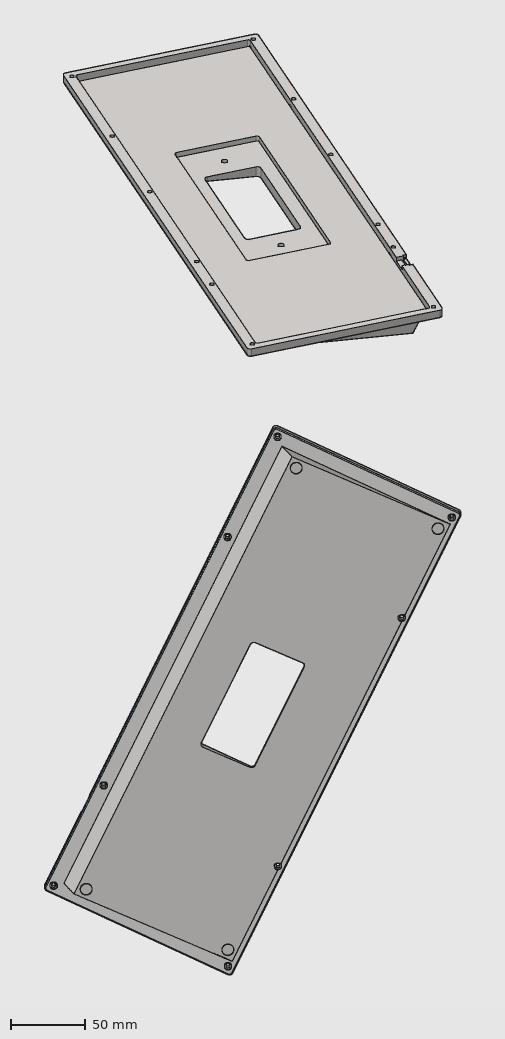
import cadquery as cq
import math

LENGTH = 358.66
WIDTH = 140.06
HEIGHT = 21.24

TRAY_HEIGHT = 6.6
TRAY_CORNER_RADIUS = 2.5
BOTTOM_CHAMFER = 0.8
END_WALL = 5.0
SIDE_WALL = 7.5
POCKET_DEPTH = 5.5
POCKET_CORNER_RADIUS = 1.5

WEDGE_END_INSET = 10.0
WEDGE_FRONT_INSET = 4.0
WEDGE_BACK_INSET = 10.5
WEDGE_RIDGE_INSET = 18.0
WEDGE_FRONT_DROP = 0.6

FOOT_DIAMETER = 8.0
FOOT_INSET = 6.2
FOOT_DEPTH = 0.8

RECESS_LENGTH = 139.9
RECESS_WIDTH = 60.0
RECESS_DEPTH = 3.8
RECESS_FLARE = 0.25
RECESS_CORNER_RADIUS = 1.5
WINDOW_LENGTH = 81.0
WINDOW_WIDTH = 40.0
WINDOW_CORNER_RADIUS = 2.5
PANEL_HOLE_DIAMETER = 4.23
PANEL_HOLE_SPACING = 109.0
PANEL_HOLE_DEPTH = 4.0

RIM_HOLE_DIAMETER = 3.0
RIM_HOLE_INSET = 5.0
CORNER_HOLE_INSET = 5.5
RIM_HOLE_INNER_X = 96.2
COUNTERBORE_DIAMETER = 5.0
COUNTERBORE_DEPTH = 1.5
BLIND_HOLE_XS = (-24.0, 66.8)
BLIND_HOLE_DEPTH = 5.0

NOTCH_X = 114.2
NOTCH_WIDTH = 10.8
NOTCH_DEPTH = 3.0
NOTCH_MOUTH_WIDTH = 12.6
NOTCH_MOUTH_LENGTH = 2.3
NOTCH_MOUTH_DEPTH = 2.2
NOTCH_SLOT_THICKNESS = 1.2
NOTCH_SLOT_DEPTH = 5.0

BACK_Y = WIDTH / 2
POCKET_FLOOR_Z = -POCKET_DEPTH
RECESS_FLOOR_Z = POCKET_FLOOR_Z - RECESS_DEPTH
WEDGE_FRONT_Y = -BACK_Y + WEDGE_FRONT_INSET
WEDGE_FRONT_Z = -TRAY_HEIGHT - WEDGE_FRONT_DROP
WEDGE_RIDGE_Y = BACK_Y - WEDGE_RIDGE_INSET
WEDGE_BACK_Y = BACK_Y - WEDGE_BACK_INSET
RIM_HOLE_Y = BACK_Y - RIM_HOLE_INSET


def rounded_block(length, width, top_z, depth, radius):
    """Block centred in X and Y, with rounded vertical edges, going down from top_z."""
    block = cq.Workplane("XY", origin=(0, 0, top_z - depth)).rect(length, width).extrude(depth)
    return block.edges("|Z").fillet(radius)


def cylinders(points, diameter, top_z, depth):
    """Upright cylinders going down from top_z."""
    plane = cq.Workplane("XY", origin=(0, 0, top_z))
    return plane.pushPoints(points).circle(diameter / 2).extrude(-depth)


def make_tray():
    tray = rounded_block(LENGTH, WIDTH, 0, TRAY_HEIGHT, TRAY_CORNER_RADIUS)
    return tray.faces("<Z").chamfer(BOTTOM_CHAMFER)


def make_wedge():
    """Wedge with a long sloping underside and a steep back."""
    wedge_length = LENGTH - 2 * WEDGE_END_INSET
    profile = [
        (WEDGE_FRONT_Y, POCKET_FLOOR_Z),
        (WEDGE_FRONT_Y, WEDGE_FRONT_Z),
        (WEDGE_RIDGE_Y, -HEIGHT),
        (WEDGE_BACK_Y, -TRAY_HEIGHT),
        (WEDGE_BACK_Y, POCKET_FLOOR_Z),
    ]
    return cq.Workplane("YZ").polyline(profile).close().extrude(wedge_length / 2, both=True)


def make_foot_sockets():
    """Round sockets square to the sloping underside, one near each of its corners."""
    slope = math.atan2(WEDGE_FRONT_Z + HEIGHT, WEDGE_RIDGE_Y - WEDGE_FRONT_Y)
    plane = cq.Plane(
        origin=(0, WEDGE_RIDGE_Y, -HEIGHT),
        xDir=(1, 0, 0),
        normal=(0, math.sin(slope), math.cos(slope)),
    )
    slope_length = (WEDGE_RIDGE_Y - WEDGE_FRONT_Y) / math.cos(slope)
    foot_x = LENGTH / 2 - WEDGE_END_INSET - FOOT_INSET
    points = [
        (side * foot_x, -distance)
        for side in (-1, 1)
        for distance in (FOOT_INSET, slope_length - FOOT_INSET)
    ]
    return cq.Workplane(plane).pushPoints(points).circle(FOOT_DIAMETER / 2).extrude(FOOT_DEPTH)


def make_pocket():
    return rounded_block(
        LENGTH - 2 * END_WALL, WIDTH - 2 * SIDE_WALL, 0, POCKET_DEPTH, POCKET_CORNER_RADIUS
    )


def make_recess():
    """Recess whose walls flare slightly outwards towards its top."""
    flare_angle = math.degrees(math.atan2(RECESS_FLARE, RECESS_DEPTH))
    outline = cq.Sketch().rect(RECESS_LENGTH, RECESS_WIDTH).vertices().fillet(RECESS_CORNER_RADIUS)
    floor = cq.Workplane("XY", origin=(0, 0, RECESS_FLOOR_Z))
    return floor.placeSketch(outline).extrude(RECESS_DEPTH, taper=-flare_angle)


def make_window():
    return rounded_block(WINDOW_LENGTH, WINDOW_WIDTH, 0, HEIGHT, WINDOW_CORNER_RADIUS)


def make_panel_holes():
    points = [(side * PANEL_HOLE_SPACING / 2, 0) for side in (-1, 1)]
    return cylinders(points, PANEL_HOLE_DIAMETER, RECESS_FLOOR_Z, PANEL_HOLE_DEPTH)


def make_through_holes():
    """Rim holes through the tray, counterbored from below."""
    corner_x = LENGTH / 2 - CORNER_HOLE_INSET
    xs = (-corner_x, -RIM_HOLE_INNER_X, RIM_HOLE_INNER_X, corner_x)
    points = [(x, side * RIM_HOLE_Y) for x in xs for side in (-1, 1)]
    holes = cylinders(points, RIM_HOLE_DIAMETER, 0, HEIGHT)
    counterbore_z = COUNTERBORE_DEPTH - TRAY_HEIGHT
    return holes.union(cylinders(points, COUNTERBORE_DIAMETER, counterbore_z, HEIGHT))


def make_blind_holes():
    points = [(x, side * RIM_HOLE_Y) for x in BLIND_HOLE_XS for side in (-1, 1)]
    return cylinders(points, RIM_HOLE_DIAMETER, 0, BLIND_HOLE_DEPTH)


def make_cable_notch():
    """Channel across the back wall with a wider mouth and a deep slot just inside the mouth."""
    steps = [
        (NOTCH_WIDTH, SIDE_WALL, NOTCH_DEPTH),
        (NOTCH_MOUTH_WIDTH, NOTCH_MOUTH_LENGTH, NOTCH_MOUTH_DEPTH),
    ]
    notch = cq.Workplane("XY")
    for width, length, depth in steps:
        step = cq.Workplane("XY").box(width, length, depth, centered=(True, False, False))
        notch = notch.union(step.translate((NOTCH_X, BACK_Y - length, -depth)))
    slot = cq.Workplane("XY").box(
        NOTCH_WIDTH, NOTCH_SLOT_THICKNESS, NOTCH_SLOT_DEPTH, centered=(True, False, False)
    )
    slot_y = BACK_Y - NOTCH_MOUTH_LENGTH - NOTCH_SLOT_THICKNESS
    return notch.union(slot.translate((NOTCH_X, slot_y, -NOTCH_SLOT_DEPTH)))


result = make_tray().union(make_wedge())
for cutter in (
    make_pocket(),
    make_recess(),
    make_window(),
    make_foot_sockets(),
    make_panel_holes(),
    make_through_holes(),
    make_blind_holes(),
    make_cable_notch(),
):
    result = result.cut(cutter)